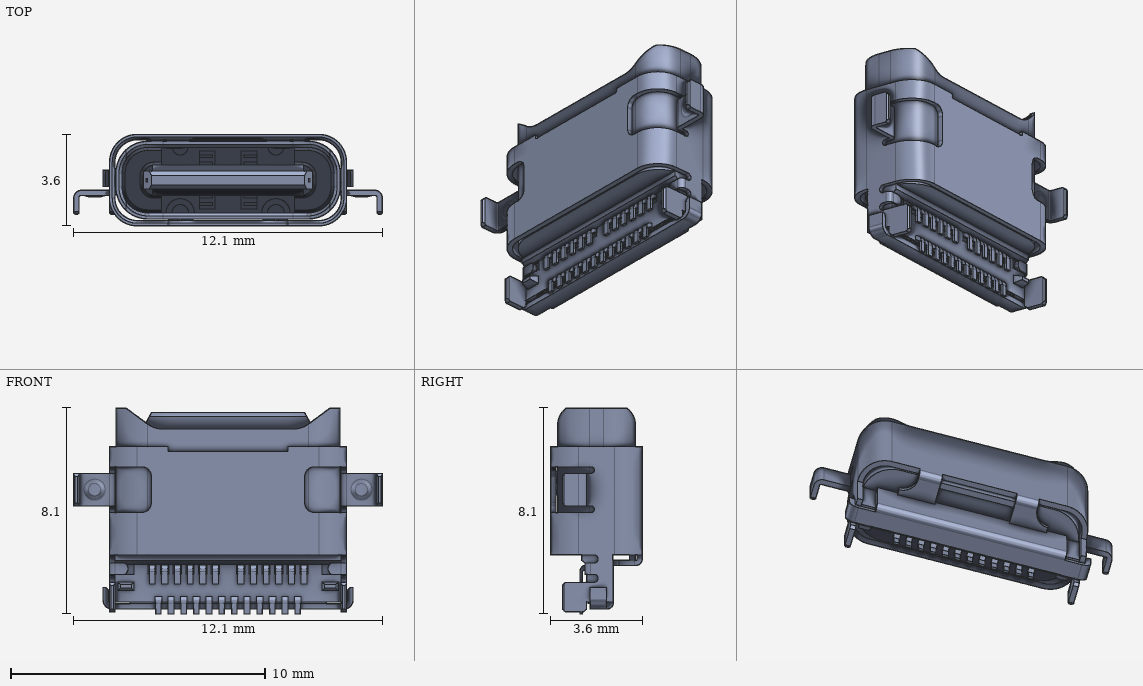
import cadquery as cq
import math


EPS = 0.001
over = 0.12

sheet = 0.22

outer_half_x = 4.66
outer_half_y = 3.6 / 2
outer_radius = 1.09
outer_top = 6.58
outer_bottom = 2.33
outer_rim_bevel = 0.11
inside_half_x = outer_half_x - sheet
rim_notch_half_x = 2.35
rim_notch_depth = 0.18
rim_notch_fillet = 0.07

window_bottom = 4.0
window_top = 5.79
window_inner_x = 3.01
window_radius = 0.39
window_back_y = -0.28
relief_width = 0.25
relief_end_y = -0.08

wing_half_x = 6.07
wing_bottom = 4.25
wing_top = 5.54
wing_back_y = -0.39
leg_tip_y = -1.35
leg_corner = 0.12
leg_tip_bevel = 0.06
wing_bend = 0.33
wing_inner_bend = 0.06
dimple_x = 5.25
dimple_base_radius = 0.41
dimple_tip_radius = 0.24
dimple_height = 0.05

plate_back_y = 0.64
plate_bottom = 0.49
plate_front_y = -0.39
side_leg_top = 1.25
side_leg_bottom = 0.08
side_slot_end_y = 0.06
side_slot_ends = ((2.0, outer_bottom), (side_leg_top, 1.57))
lug_bottom = 1.57
lug_top = 2.0
lug_pocket_x = 3.69
lug_pocket_depth = 0.12
lug_tip_x = 3.93
lug_tip_sag = 0.12
lug_back_y = -0.15
lug_front_y = -0.46
lug_nose = 0.22

strap_inner_x = 1.52
strap_outer_x = 2.43
strap_flare = 0.61
strap_bottom = 1.9
cover_back_y = 0.67
cover_bottom = 0.2
cover_front_y = -0.25
cover_bend = 0.27
cover_half_x = 3.86
ear_half_x = 4.92
ear_top = 1.06
ear_back_y = 0.39
ear_bend = 0.36
ear_top_bevel = 0.11

mate_half_x = 4.41
mate_half_y = 1.53
mate_radius = 1.25
mate_wall = 0.24
mate_top = 8.1
mouth_bevel = 0.12
scallop_top_x = 4.01
scallop_mid_x = 3.22
scallop_mid_z = 7.51
scallop_flat_x = 2.55
scallop_floor = 7.27
mate_tab_bottom = 2.1
weld_radius = 0.23
weld_front_places = ((1.6, 4.92), (2.11, 5.4))
weld_back_places = ((2.79, 4.92),)
wall_bump_x = 2.11
wall_bump_z = 6.62
wall_bump_base_radius = 0.51
wall_bump_tip_radius = 0.27
wall_bump_height = 0.04

cavity_floor = 2.67
block_front_y = -0.39
block_bottom = 0.41
collar_front_y = -0.58
collar_bevel_top = 2.11
collar_bevel_bottom = 1.95
foot_height = 0.06
foot_setback = 0.06

boss_half_x = 3.46
boss_half_y = 0.7
boss_radius = 0.55
boss_height = 0.3
floor_bevel = 0.12
plateau_height = 0.18
well_half_x = 2.61
tongue_root_half_x = 2.96
tongue_root_half_y = 0.6
tongue_root_top = 4.13
tongue_step = 0.24
tongue_half_x = 3.33
tongue_neck_half_x = 3.01
tongue_half_y = 0.35
tongue_top = 7.93
tongue_notch_z = 6.55
tongue_wide_bottom = 6.98
tongue_wide_top = 7.35
tongue_tip_half_y = 0.18
tongue_bevel = 0.16
end_slit_x = 3.16
end_slit_width = 0.06
end_slit_half_y = 0.07
end_slit_bottom = 7.04

floor_slot_inner_x = 0.51
floor_slot_outer_x = 1.13
floor_slot_near_y = 0.6
floor_slot_far_y = 1.14
floor_slot_depth = 0.18
slot_bar_inner_x = 0.62
slot_bars = ((0.6, 0.7), (0.89, 1.0))

spring_x = 1.88
spring_ends = ((-1, 0.56, 0.12), (-1, 0.33, 0.24), (1, 0.3, 0.24))

knob_inner_x = 3.7
knob_outer_x = 4.33
knob_bottom = 0.92
knob_top = 1.26
knob_length = 0.36
knob_taper = 15

pitch = 0.5
tails_per_side = 6
shouldered_root_width = 0.27
tail_width = 0.24
narrow_tail_width = 0.22
tail_thick = 0.1
tail_root_thick = 0.15
tail_front_y = -0.65
tail_bend = 0.25
upper_tail_top = 1.93
upper_tail_bottom = 1.18
upper_narrow_tails = (2, 5)
tail_pocket_width = 0.33
tail_pocket_bottom = 1.58
tail_pocket_depth = 0.07
lower_tail_top = 0.69
lower_narrow_tails = (0, 2, 3, 5)


def box(x0, x1, y0, y1, z0, z1):
    """Box between two opposite corners."""
    return cq.Workplane("XY").box(x1 - x0, y1 - y0, z1 - z0, centered=False).translate((x0, y0, z0))


def rounded_block(half_x, half_y, radius, z0, z1):
    """Upright block with rounded vertical corners, centred on the Z axis."""
    block = box(-half_x, half_x, -half_y, half_y, z0, z1)
    return block.edges("|Z").fillet(radius)


def along_x(points, x0, x1):
    """Extrude a (y, z) outline from x0 to x1."""
    return cq.Workplane("YZ").polyline(points).close().extrude(x1 - x0).translate((x0, 0, 0))


def along_y(points, y0, y1):
    """Extrude an (x, z) outline from y0 to y1."""
    return cq.Workplane("XZ").polyline(points).close().extrude(y1 - y0).translate((0, y1, 0))


def both_sides(right_half):
    """Add the mirror image across X = 0."""
    return right_half.union(right_half.mirror("YZ"))


def make_outer_shell():
    """Rounded tube with a bevelled rim, a shallow front notch and two corner windows."""
    shell = rounded_block(outer_half_x, outer_half_y, outer_radius, outer_bottom, outer_top)
    bore = rounded_block(
        inside_half_x, outer_half_y - sheet, outer_radius - sheet, outer_bottom - over, outer_top + over
    )
    shell = shell.cut(bore)

    rim_bevel = rounded_block(
        inside_half_x + outer_rim_bevel, outer_half_y - sheet + outer_rim_bevel,
        outer_radius - sheet + outer_rim_bevel, outer_top - outer_rim_bevel, outer_top + over,
    ).faces("<Z").edges().chamfer(outer_rim_bevel)
    shell = shell.cut(rim_bevel)

    notch = box(
        -rim_notch_half_x, rim_notch_half_x,
        -outer_half_y - over, -outer_half_y + sheet + over,
        outer_top - rim_notch_depth, outer_top + over,
    ).edges("|Y and <Z").fillet(rim_notch_fillet)
    notch_bevel = rim_bevel.translate((0, 0, -rim_notch_depth)).intersect(
        box(
            -rim_notch_half_x, rim_notch_half_x, -outer_half_y, 0,
            outer_top - rim_notch_depth - outer_rim_bevel, outer_top,
        )
    )
    shell = shell.cut(notch).cut(notch_bevel)

    window = box(
        window_inner_x, outer_half_x + over, -outer_half_y - over, window_back_y, window_bottom, window_top
    ).edges("|Y and <X").fillet(window_radius)
    for low in (window_bottom, window_top - relief_width):
        relief = box(
            inside_half_x - over, outer_half_x + over,
            window_back_y - 2 * over, relief_end_y,
            low, low + relief_width,
        ).edges("|X and >Y").fillet(relief_width / 2 - EPS)
        window = window.union(relief)
    return shell.cut(both_sides(window))


def make_wing():
    """Right solder wing: bends out of the side wall, then forward into a leg."""
    wing_front_y = wing_back_y - sheet
    height = wing_top - wing_bottom
    wing = box(inside_half_x, wing_half_x, wing_front_y, wing_back_y, wing_bottom, wing_top)
    leg = box(wing_half_x - sheet, wing_half_x, leg_tip_y, wing_back_y, wing_bottom, wing_top)
    leg = leg.edges("|X and <Y").chamfer(leg_corner)
    leg = leg.faces("<Y").edges("|Z").chamfer(leg_tip_bevel)
    wing = wing.union(leg).edges("|Z and >X").edges(">Y").fillet(wing_bend)
    wing = wing.edges(cq.selectors.NearestToPointSelector(
        (wing_half_x - sheet, wing_front_y, wing_bottom + height / 2)
    )).fillet(wing_inner_bend)
    root = box(inside_half_x, outer_half_x, wing_back_y, window_back_y, wing_bottom, wing_top)
    wing = wing.union(root).edges(cq.selectors.NearestToPointSelector(
        (inside_half_x, wing_front_y, wing_bottom + height / 2)
    )).fillet(sheet - EPS)
    dimple = (
        cq.Workplane("XZ").circle(dimple_base_radius)
        .workplane(offset=dimple_height).circle(dimple_tip_radius)
        .loft()
        .translate((dimple_x, wing_front_y, (wing_bottom + wing_top) / 2))
    )
    return wing.union(dimple)


def make_side_plate():
    """Right side plate with its forward solder leg, slots and inward lug."""
    plate = box(inside_half_x, outer_half_x, plate_front_y, plate_back_y, plate_bottom, outer_bottom + over)
    leg = box(inside_half_x, outer_half_x, leg_tip_y, plate_front_y, side_leg_bottom, side_leg_top)
    leg = leg.edges("|X").edges("<Y or <Z").chamfer(leg_corner)
    leg = leg.faces("<Y").edges("|Z").chamfer(leg_tip_bevel)
    plate = plate.union(leg)
    for low, high in side_slot_ends:
        slot = box(
            inside_half_x - over, outer_half_x + over, collar_front_y - over, side_slot_end_y, low, high
        )
        plate = plate.cut(slot.edges("|X and >Y").fillet((high - low) / 2 - EPS))
    lug = (
        cq.Workplane("XZ")
        .moveTo(outer_half_x, lug_bottom)
        .lineTo(lug_tip_x + lug_tip_sag, lug_bottom)
        .threePointArc((lug_tip_x, (lug_bottom + lug_top) / 2), (lug_tip_x + lug_tip_sag, lug_top))
        .lineTo(outer_half_x, lug_top)
        .close()
        .extrude(lug_back_y - lug_front_y)
        .translate((0, lug_back_y, 0))
        .edges("|Z and >X and <Y").fillet(lug_nose)
    )
    opening = box(
        inside_half_x - over, outer_half_x + over, lug_front_y - over, lug_back_y, lug_bottom, lug_top
    )
    return plate.cut(opening).union(lug)


def make_rear_cover():
    """Back wall straps folded forward, down behind the housing and under it."""
    strap_top = strap_bottom + sheet
    drop = box(
        strap_inner_x, strap_outer_x, outer_half_y - sheet, outer_half_y, strap_bottom, outer_bottom + over
    )
    shelf = box(strap_inner_x, strap_outer_x, cover_back_y - sheet, outer_half_y, strap_bottom, strap_top)
    strap = drop.union(shelf).edges("|X and >Y and <Z").fillet(cover_bend)
    flare_y = cover_back_y + sheet + strap_flare
    flare = box(
        strap_inner_x, strap_outer_x + strap_flare, cover_back_y - sheet, flare_y, strap_bottom, strap_top
    )
    flare = flare.cut(
        cq.Workplane("XY").circle(strap_flare).extrude(sheet)
        .translate((strap_outer_x + strap_flare, flare_y, strap_bottom))
    )
    straps = both_sides(strap.union(flare))

    wall = box(-cover_half_x, cover_half_x, cover_back_y - sheet, cover_back_y, cover_bottom, strap_top)
    under = box(
        -cover_half_x, cover_half_x, cover_front_y, cover_back_y, cover_bottom, cover_bottom + sheet
    )
    cover = wall.union(under).edges("|X and >Y and <Z").fillet(cover_bend)

    ear = box(cover_half_x - over, ear_half_x, cover_front_y, ear_back_y, cover_bottom, ear_top)
    ear = ear.edges("|Y and >X and <Z").fillet(ear_bend)
    ear_inside = box(
        cover_half_x - 2 * over, ear_half_x - sheet, cover_front_y, ear_back_y, cover_bottom + sheet, ear_top
    )
    ear_inside = ear_inside.edges("|Y and >X and <Z").fillet(ear_bend - sheet)
    ear = ear.cut(ear_inside)
    ear = ear.faces(">Z").edges("<X").chamfer(ear_top_bevel)
    return straps.union(cover).union(both_sides(ear))


def on_cavity_wall(edge):
    """True for an edge of the mating shell's rim that runs along its inner wall."""
    middle = edge.positionAt(0.5)
    if middle.z < scallop_floor - EPS:
        return False
    corner_x = mate_half_x - mate_radius
    corner_y = mate_half_y - mate_radius
    reach_x = max(abs(middle.x) - corner_x, 0)
    reach_y = max(abs(middle.y) - corner_y, 0)
    upright = edge.geomType() == "LINE" and abs(edge.tangentAt(0.5).z) > 0.12 - EPS
    on_wall = abs(math.hypot(reach_x, reach_y) - mate_radius + mate_wall) < EPS
    return on_wall and not upright


def make_mating_shell():
    """Oval cup whose long walls are scalloped lower than its ends."""
    shell = rounded_block(mate_half_x, mate_half_y, mate_radius, outer_bottom, mate_top)
    scallop = (
        cq.Workplane("XZ")
        .moveTo(0, scallop_floor)
        .lineTo(scallop_flat_x, scallop_floor)
        .tangentArcPoint((scallop_mid_x, scallop_mid_z), relative=False)
        .lineTo(scallop_top_x, mate_top)
        .lineTo(0, mate_top)
        .close()
        .extrude(mate_half_y + over, both=True)
    )
    shell = shell.cut(both_sides(scallop))
    cavity = rounded_block(
        mate_half_x - mate_wall, mate_half_y - mate_wall, mate_radius - mate_wall,
        cavity_floor, mate_top + over,
    )
    shell = shell.cut(cavity)
    shell = shell.edges().filter(on_cavity_wall).chamfer(mouth_bevel)

    bump = (
        cq.Workplane("XZ").circle(wall_bump_base_radius)
        .workplane(offset=wall_bump_height).circle(wall_bump_tip_radius)
        .loft()
        .translate((wall_bump_x, mate_half_y - mate_wall, wall_bump_z))
    )
    lip = box(
        -strap_outer_x, strap_outer_x, mate_half_y - mate_wall, mate_half_y, mate_tab_bottom, outer_bottom
    )
    return shell.union(both_sides(bump)).union(lip)


def make_weld_pads():
    """Round pads that bridge the gap between the two shells."""
    gap = outer_half_y - sheet - mate_half_y
    front = [(x, -mate_half_y, z) for x, z in weld_front_places]
    back = [(x, outer_half_y - sheet, z) for x, z in weld_back_places]
    pads = cq.Workplane("XY")
    for centre in front + back:
        pads = pads.union(cq.Workplane("XZ").circle(weld_radius).extrude(gap).translate(centre))
    return both_sides(pads)


def make_housing():
    """Plastic block below the shells, with collar, foot, knobs and shallow front pockets."""
    block_back_y = cover_back_y - sheet
    outline = [
        (block_back_y, outer_bottom + over),
        (collar_front_y, outer_bottom + over),
        (collar_front_y, collar_bevel_top),
        (block_front_y, collar_bevel_bottom),
        (block_front_y, block_bottom + foot_height),
        (block_back_y, block_bottom + foot_height),
    ]
    block = along_x(outline, -inside_half_x, inside_half_x)
    foot = box(
        -cover_half_x, cover_half_x, block_front_y + foot_setback, block_back_y,
        block_bottom, block_bottom + foot_height,
    )
    knob = (
        cq.Workplane("XZ")
        .rect(knob_outer_x - knob_inner_x, knob_top - knob_bottom)
        .extrude(knob_length, taper=knob_taper)
        .translate(((knob_inner_x + knob_outer_x) / 2, block_front_y, (knob_bottom + knob_top) / 2))
    )
    pockets = box(
        lug_pocket_x, inside_half_x, block_front_y, block_front_y + lug_pocket_depth, lug_bottom, lug_top
    )
    for i in range(tails_per_side):
        x = (i + 1) * pitch
        pockets = pockets.union(box(
            x - tail_pocket_width / 2, x + tail_pocket_width / 2,
            block_front_y, block_front_y + tail_pocket_depth,
            tail_pocket_bottom, upper_tail_top,
        ))
    return block.union(foot).cut(both_sides(pockets)).union(both_sides(knob))


def make_cavity_floor():
    """Bevelled plateau and tongue boss at each end, with a flat well between them."""
    plateau = rounded_block(
        mate_half_x - mate_wall, mate_half_y - mate_wall, mate_radius - mate_wall,
        cavity_floor, cavity_floor + plateau_height,
    ).faces(">Z").edges().chamfer(floor_bevel)
    boss = rounded_block(boss_half_x, boss_half_y, boss_radius, cavity_floor, cavity_floor + boss_height)
    boss = boss.faces(">Z").edges().chamfer(floor_bevel)
    well = box(
        -well_half_x, well_half_x, -mate_half_y, mate_half_y, cavity_floor, cavity_floor + boss_height
    )
    floor = plateau.union(boss).cut(well)

    inside = box(
        -well_half_x, well_half_x, -mate_half_y + mate_wall, mate_half_y - mate_wall,
        cavity_floor, cavity_floor + boss_height,
    )
    for side, radius, height in spring_ends:
        spring = cq.Workplane("XY").circle(radius).extrude(height)
        spring = spring.translate((spring_x, side * (mate_half_y - mate_wall), cavity_floor))
        floor = floor.union(both_sides(spring).intersect(inside))
    return floor


def make_tongue():
    """Contact tongue: thick root, thin blade with latch notches, and a bevelled tip."""
    root = along_x(
        [
            (-tongue_root_half_y, cavity_floor),
            (tongue_root_half_y, cavity_floor),
            (tongue_root_half_y, tongue_root_top),
            (tongue_half_y, tongue_root_top + tongue_step),
            (-tongue_half_y, tongue_root_top + tongue_step),
            (-tongue_root_half_y, tongue_root_top),
        ],
        -tongue_root_half_x, tongue_root_half_x,
    )
    side = [
        (tongue_neck_half_x, cavity_floor),
        (tongue_neck_half_x, tongue_notch_z),
        (tongue_half_x, tongue_wide_bottom),
        (tongue_half_x, tongue_wide_top),
        (tongue_neck_half_x, tongue_top),
    ]
    blade = along_y(side + [(-x, z) for x, z in reversed(side)], -tongue_half_y, tongue_half_y)
    tip = along_x(
        [
            (-tongue_half_y, cavity_floor),
            (tongue_half_y, cavity_floor),
            (tongue_half_y, tongue_top - tongue_bevel),
            (tongue_tip_half_y, tongue_top),
            (-tongue_tip_half_y, tongue_top),
            (-tongue_half_y, tongue_top - tongue_bevel),
        ],
        -tongue_half_x, tongue_half_x,
    )
    slit = box(
        end_slit_x, end_slit_x + end_slit_width, -end_slit_half_y, end_slit_half_y,
        end_slit_bottom, tongue_top,
    )
    return root.union(blade.intersect(tip).cut(both_sides(slit)))


def make_floor_slots():
    """Contact openings sunk into the well on both faces of the tongue."""
    bottom = cavity_floor - floor_slot_depth
    slot = box(
        floor_slot_inner_x, floor_slot_outer_x, floor_slot_near_y, floor_slot_far_y, bottom, cavity_floor
    )
    for near_y, far_y in slot_bars:
        bar_top = cavity_floor - floor_slot_depth / 2
        slot = slot.cut(box(slot_bar_inner_x, floor_slot_outer_x, near_y, far_y, bottom, bar_top))
    slots = both_sides(slot)
    return slots.union(slots.mirror("XZ"))


def make_tail(x, top, bottom, width, root_width):
    """One contact tail: a root out of the block that bends down into a straight leg."""
    back_y = tail_front_y + tail_thick
    root_y = block_front_y + tail_pocket_depth
    tail = (
        cq.Workplane("YZ")
        .moveTo(root_y, top)
        .lineTo(tail_front_y + tail_bend, top)
        .radiusArc((tail_front_y, top - tail_bend), -tail_bend)
        .lineTo(tail_front_y, bottom)
        .lineTo(back_y, bottom)
        .lineTo(back_y, top - tail_bend)
        .lineTo(tail_front_y + tail_bend, top - tail_root_thick)
        .lineTo(root_y, top - tail_root_thick)
        .close()
        .extrude(root_width / 2, both=True)
    )
    leg_limit = box(-width / 2, width / 2, tail_front_y, back_y, bottom, top - tail_bend)
    root_limit = box(-root_width, root_width, tail_front_y, root_y, top - tail_bend, top)
    return tail.intersect(leg_limit.union(root_limit)).translate((x, 0, 0))


def make_tails():
    """Upper row below the collar and lower row below the block, set half a pitch apart."""
    tails = cq.Workplane("XY")
    for i in range(tails_per_side):
        width = narrow_tail_width if i in upper_narrow_tails else tail_width
        tails = tails.union(make_tail((i + 1) * pitch, upper_tail_top, upper_tail_bottom, width, width))
        x = (i + 0.5) * pitch
        if i in lower_narrow_tails:
            tail = make_tail(x, lower_tail_top, 0, narrow_tail_width, shouldered_root_width)
        else:
            tail = make_tail(x, lower_tail_top, 0, tail_width, tail_width)
        tails = tails.union(tail)
    return both_sides(tails)


result = (
    make_outer_shell()
    .union(both_sides(make_wing()))
    .union(make_mating_shell())
    .union(make_weld_pads())
    .union(make_housing())
    .cut(make_floor_slots())
    .union(make_cavity_floor())
    .union(make_tongue())
    .union(both_sides(make_side_plate()))
    .union(make_rear_cover())
    .union(make_tails())
)